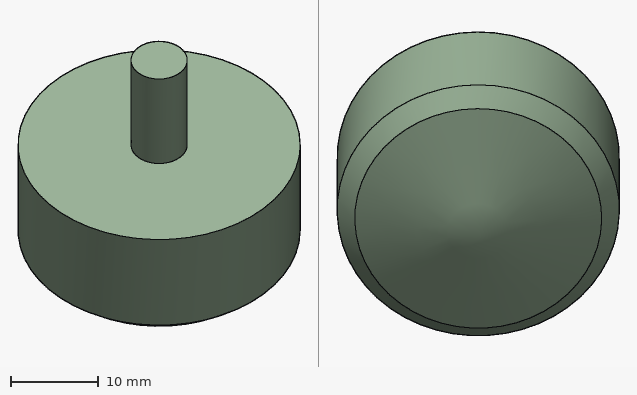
import cadquery as cq

total_height = 32.5
body_diameter = 32.15
stem_diameter = 6.4
stem_height = 13.0
chamfer_size = 2.0
cone_height = 4.32

body_radius = body_diameter / 2
stem_radius = stem_diameter / 2
cone_radius = body_radius - chamfer_size
body_bottom = cone_height + chamfer_size
body_top = total_height - stem_height

profile = (
    cq.Workplane("XZ")
    .moveTo(0, 0)
    .lineTo(cone_radius, cone_height)
    .lineTo(body_radius, body_bottom)
    .lineTo(body_radius, body_top)
    .lineTo(stem_radius, body_top)
    .lineTo(stem_radius, total_height)
    .lineTo(0, total_height)
    .close()
)

result = profile.revolve(360, (0, 0, 0), (0, 1, 0))